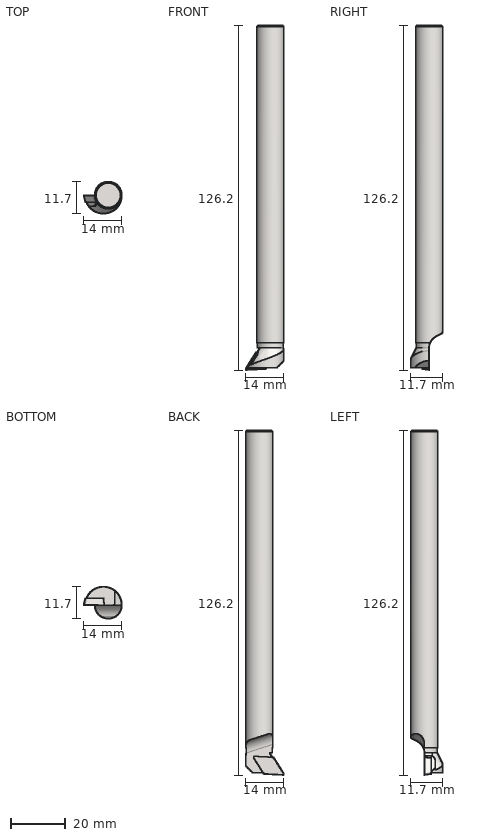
import cadquery as cq
import math

LENGTH = 126.2
WIDTH = 14.0
DEPTH = 11.7
SHANK_RADIUS = 10.0 / 2
SHANK_CHAMFER = 0.5

NECK_RADIUS = 4.8
NECK_TOP = 10.0
HEAD_TOP = 8.1
HEAD_BOTTOM = 0.8

ENVELOPE_RADIUS = DEPTH - SHANK_RADIUS
ENVELOPE_X = SHANK_RADIUS - ENVELOPE_RADIUS
FLARE_GROWTH = 0.35
FLARE_SHIFT = 0.15
FLARE_BACK = 1.3

BACK_CHAMFER = 2.7
SEAT_DEPTH = 4.0
SEAT_TOP = 7.5
SEAT_ROUND = 2.5
FLANK_CLEARANCE = 0.4
RELIEF_HOLE_DIAMETER = 2.1

GULLET_RADIUS = 4.0
GULLET_CENTRE_Z = 9.7
GULLET_TILT = 18.0

INSERT_SIDE = 7.7
INSERT_ANGLE = 55.0
INSERT_THICKNESS = 2.5
INSERT_RELIEF = 7.0
NOSE_RADIUS = 0.4
FACE_EDGE_ANGLE = 3.0
TIP_X = SHANK_RADIUS - WIDTH

FLANK_ANGLE = FACE_EDGE_ANGLE + INSERT_ANGLE

MARGIN = 25.2


def step(point, angle, distance):
    """Point reached by going a distance from a point in the XZ plane."""
    turn = math.radians(angle)
    return (point[0] + distance * math.cos(turn), point[1] + distance * math.sin(turn))


CORNER = step(
    (TIP_X + NOSE_RADIUS, NOSE_RADIUS),
    FACE_EDGE_ANGLE + INSERT_ANGLE / 2 + 180,
    NOSE_RADIUS / math.sin(math.radians(INSERT_ANGLE / 2)),
)


def upright_cylinder(radius, bottom, top, x=0.0):
    return cq.Workplane("XY", origin=(x, 0, bottom)).circle(radius).extrude(top - bottom)


def make_insert():
    face_end = step(CORNER, FACE_EDGE_ANGLE, INSERT_SIDE)
    flank_end = step(CORNER, FLANK_ANGLE, INSERT_SIDE)
    far_corner = step(face_end, FLANK_ANGLE, INSERT_SIDE)
    blank = cq.Workplane("XZ").polyline([CORNER, face_end, far_corner, flank_end]).close()
    return blank.extrude(INSERT_THICKNESS, taper=INSERT_RELIEF).edges("not #Y").fillet(NOSE_RADIUS)


def flare_profile(z):
    """Slot outline of the flare at a height: its front end widens and shifts toward -X and -Y."""
    depth = HEAD_TOP - z
    radius = NECK_RADIUS + FLARE_GROWTH * depth
    front_centre = -FLARE_SHIFT * depth
    length = FLARE_BACK - front_centre
    centre_y = (FLARE_BACK + front_centre) / 2
    slot = cq.Workplane("XY", origin=(front_centre, centre_y, z))
    return slot.slot2D(length + 2 * radius, 2 * radius, 90).val()


def flared_body():
    profiles = [flare_profile(HEAD_TOP), flare_profile(HEAD_BOTTOM)]
    return cq.Workplane(cq.Solid.makeLoft(profiles, True))


def insert_seat():
    """Block with a rounded shoulder that carries the insert out to the tip."""
    block = cq.Workplane("XY").box(-TIP_X, SEAT_DEPTH, SEAT_TOP - HEAD_BOTTOM, centered=False)
    block = block.edges("|X and >Z and <Y").fillet(SEAT_ROUND)
    return block.translate((TIP_X, -SEAT_DEPTH, HEAD_BOTTOM))


def flank_cutter():
    """Block outside the sloping flank of the head, set back from the insert edge."""
    start = step(CORNER, FLANK_ANGLE - 90, FLANK_CLEARANCE)
    low = step(start, FLANK_ANGLE, -MARGIN)
    high = step(start, FLANK_ANGLE, (HEAD_TOP - start[1]) / math.sin(math.radians(FLANK_ANGLE)))
    return (
        cq.Workplane("XZ", origin=(0, MARGIN, 0))
        .polyline([low, high, (-MARGIN, high[1]), (-MARGIN, low[1])])
        .close()
        .extrude(2 * MARGIN)
    )


def back_chamfer_cutter():
    corner = (SHANK_RADIUS, HEAD_BOTTOM)
    return (
        cq.Workplane("XZ", origin=(0, MARGIN, 0))
        .polyline([corner, (corner[0] - BACK_CHAMFER, corner[1]), (corner[0], corner[1] + BACK_CHAMFER)])
        .close()
        .extrude(2 * MARGIN)
    )


def corner_relief():
    """Hole at the rear corner of the insert, as deep as the insert is thick."""
    corner = step(CORNER, FLANK_ANGLE, INSERT_SIDE)
    outline = cq.Workplane("XZ").center(*corner).circle(RELIEF_HOLE_DIAMETER / 2)
    return outline.extrude(INSERT_THICKNESS)


def gullet_cutter():
    diagonal = GULLET_RADIUS * math.sqrt(0.5)
    return (
        cq.Workplane("YZ", origin=(-MARGIN, 0, GULLET_CENTRE_Z))
        .moveTo(0, -MARGIN)
        .lineTo(0, 0)
        .threePointArc((GULLET_RADIUS - diagonal, diagonal), (GULLET_RADIUS, GULLET_RADIUS))
        .lineTo(MARGIN, GULLET_RADIUS)
        .lineTo(MARGIN, -MARGIN)
        .close()
        .extrude(2 * MARGIN)
        .rotate((0, 0, GULLET_CENTRE_Z), (0, 1, GULLET_CENTRE_Z), GULLET_TILT)
    )


def make_bar(insert):
    shank = upright_cylinder(SHANK_RADIUS, NECK_TOP, LENGTH).faces(">Z").chamfer(SHANK_CHAMFER)
    neck = upright_cylinder(NECK_RADIUS, HEAD_TOP, NECK_TOP)
    envelope = upright_cylinder(ENVELOPE_RADIUS, HEAD_BOTTOM, HEAD_TOP, ENVELOPE_X)
    head = flared_body().union(insert_seat()).intersect(envelope)
    head = head.cut(flank_cutter()).cut(back_chamfer_cutter())
    return shank.union(neck).union(head).cut(gullet_cutter()).cut(corner_relief()).cut(insert)


insert = make_insert()
bar = make_bar(insert)

result = cq.Compound.makeCompound([bar.solids().val(), insert.solids().val()])